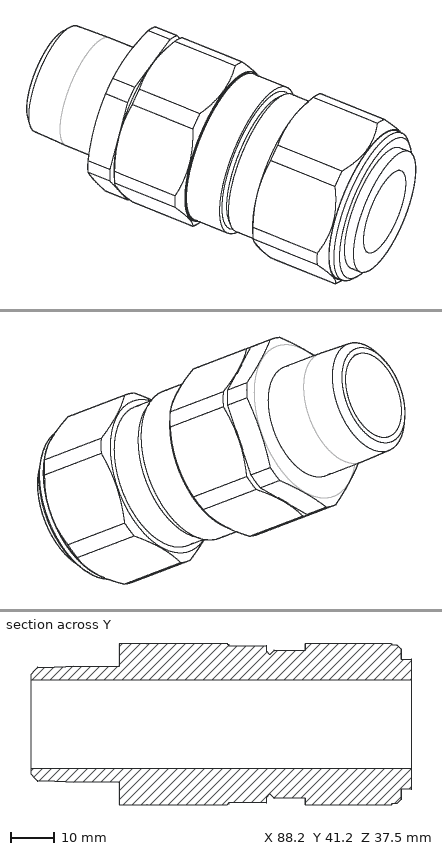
import cadquery as cq
import math

ACROSS_FLATS = 37.5
CORNER_RADIUS = 41.2 / 2
CHAMFER_RADIUS = 18.6

LENGTH = 88.25
THREAD_TAPER_END = 9.9
FLANGE_START = 20.5
FLANGE_END = 26.9
BODY_END = 45.6
COLLAR_START = 45.9
COLLAR_END = 54.6
GROOVE_BOTTOM = 55.3
NUT_START = 63.5
NUT_END = 83.7
RING_END = 85.9

NOSE_CHAMFER = 1.5
FLANGE_CHAMFER = 0.6
BODY_FRONT_CHAMFER = 1.2
BODY_REAR_CHAMFER = 1.5
NUT_FRONT_CHAMFER = 1.15
NUT_REAR_CHAMFER = CORNER_RADIUS - CHAMFER_RADIUS
RING_CHAMFER = 1.0

BORE_RADIUS = 10.2
NOSE_RADIUS = 11.6
TAPER_RADIUS = 13.2
THREAD_RADIUS = 13.5
COLLAR_RADIUS = 18.3
COLLAR_STEP_RADIUS = 18.5
COLLAR_LIP_RADIUS = 17.1
GROOVE_RADIUS = 16.15
SLEEVE_RADIUS = 17.2
RING_RADIUS = 18.45
TAIL_RADIUS = 15.1


def revolved(profile):
    """Solid of revolution about X from (x, radius) points."""
    start, end = profile[0][0], profile[-1][0]
    outline = [(start, 0), *profile, (end, 0)]
    return cq.Workplane("XY").polyline(outline).close().revolve(360, (0, 0, 0), (1, 0, 0))


def hexagon(start, end, front_chamfer, rear_chamfer=0):
    """Hexagon along X with flats facing +/-Z, rounded corners and conical end chamfers."""
    across_corners = ACROSS_FLATS / math.cos(math.radians(30))
    prism = (
        cq.Workplane("YZ")
        .workplane(offset=start)
        .polygon(6, across_corners)
        .extrude(end - start)
    )
    envelope = [
        (start, CHAMFER_RADIUS),
        (start + front_chamfer, CORNER_RADIUS),
        (end - rear_chamfer, CORNER_RADIUS),
    ]
    if rear_chamfer:
        envelope.append((end, CHAMFER_RADIUS))
    return prism.intersect(revolved(envelope))


groove_depth = SLEEVE_RADIUS - GROOVE_RADIUS
core = revolved(
    [
        (0, NOSE_RADIUS),
        (NOSE_CHAMFER, TAPER_RADIUS),
        (THREAD_TAPER_END, THREAD_RADIUS),
        (BODY_END, THREAD_RADIUS),
        (BODY_END, COLLAR_STEP_RADIUS),
        (COLLAR_START, COLLAR_STEP_RADIUS),
        (COLLAR_START, COLLAR_RADIUS),
        (COLLAR_END, COLLAR_RADIUS),
        (COLLAR_END, COLLAR_LIP_RADIUS),
        (GROOVE_BOTTOM, GROOVE_RADIUS),
        (GROOVE_BOTTOM + groove_depth, SLEEVE_RADIUS),
        (NUT_END, SLEEVE_RADIUS),
        (NUT_END, RING_RADIUS),
        (RING_END - RING_CHAMFER, RING_RADIUS),
        (RING_END, RING_RADIUS - RING_CHAMFER),
        (RING_END, TAIL_RADIUS),
        (LENGTH, TAIL_RADIUS),
    ]
)

flange = hexagon(FLANGE_START, FLANGE_END, FLANGE_CHAMFER)
body = hexagon(FLANGE_END, BODY_END, BODY_FRONT_CHAMFER, BODY_REAR_CHAMFER)
nut = hexagon(NUT_START, NUT_END, NUT_FRONT_CHAMFER, NUT_REAR_CHAMFER)
bore = cq.Workplane("YZ").circle(BORE_RADIUS).extrude(LENGTH)

result = core.union(flange).union(body).union(nut).cut(bore)